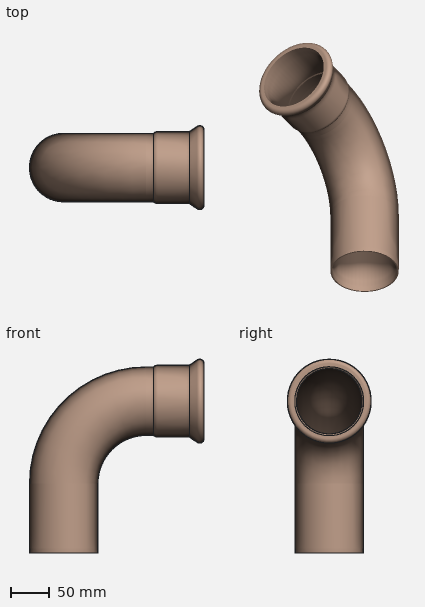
import cadquery as cq
import math

pipe_diameter = 88.9
wall = 2.0
bend_radius = 107.0
leg_length = 90.0
end_band_length = 5.6
end_band_diameter = 88.5

collar_start = 116.5
collar_round_end = 122.1
socket_end = 163.0
mouth_end = 182.0
socket_diameter = 93.5

bead_diameter = 109.0
bead_round_radius = 5.5

pipe_radius = pipe_diameter / 2
end_band_radius = end_band_diameter / 2
bore_radius = pipe_radius - wall
socket_radius = socket_diameter / 2
socket_bore_radius = socket_radius - wall
axis_height = leg_length + bend_radius


def make_leg():
    """Vertical leg with a slightly tapered insertion end."""
    profile = (
        cq.Workplane("XZ")
        .moveTo(0, 0)
        .lineTo(end_band_radius, 0)
        .lineTo(pipe_radius, end_band_length)
        .lineTo(pipe_radius, leg_length)
        .lineTo(0, leg_length)
        .close()
    )
    return profile.revolve(360, (0, 0, 0), (0, 1, 0))


def make_bend(radius):
    """Quarter bend from the top of the leg (+Z) round to +X."""
    section = cq.Workplane("XY").workplane(offset=leg_length).circle(radius)
    return section.revolve(90, (bend_radius, 0, 0), (bend_radius, 1, 0))


def make_socket():
    """Horizontal run: pipe stub, rounded collar, socket, cone and bead."""
    shoulder_length = collar_round_end - collar_start
    shoulder_drop = socket_radius - pipe_radius
    shoulder_radius = (shoulder_length**2 + shoulder_drop**2) / (2 * shoulder_drop)
    half_angle = math.asin(shoulder_length / shoulder_radius) / 2
    shoulder_mid = (
        collar_round_end - shoulder_radius * math.sin(half_angle),
        socket_radius - shoulder_radius * (1 - math.cos(half_angle)),
    )

    centre_x = mouth_end - bead_round_radius
    centre_r = bead_diameter / 2 - bead_round_radius
    run = centre_x - socket_end
    rise = centre_r - socket_radius
    cone_angle = math.atan2(rise, run) + math.asin(bead_round_radius / math.hypot(run, rise))
    cone_end = (
        centre_x - bead_round_radius * math.sin(cone_angle),
        centre_r + bead_round_radius * math.cos(cone_angle),
    )
    bead_top = (centre_x, bead_diameter / 2)

    profile = (
        cq.Workplane("XZ", origin=(0, 0, axis_height))
        .moveTo(bend_radius, 0)
        .lineTo(bend_radius, pipe_radius)
        .lineTo(collar_start, pipe_radius)
        .threePointArc(shoulder_mid, (collar_round_end, socket_radius))
        .lineTo(socket_end, socket_radius)
        .lineTo(*cone_end)
        .threePointArc(bead_top, (mouth_end, centre_r))
        .lineTo(mouth_end, 0)
        .close()
    )
    return profile.revolve(360, (0, 0, 0), (1, 0, 0))


def make_bore():
    """Through passage: pipe bore round the bend, opening into the wider socket bore."""
    leg_bore = cq.Workplane("XY").circle(bore_radius).extrude(leg_length)
    stub_bore = (
        cq.Workplane("YZ", origin=(bend_radius, 0, axis_height))
        .circle(bore_radius)
        .extrude(collar_round_end - bend_radius)
    )
    socket_bore = (
        cq.Workplane("YZ", origin=(collar_round_end, 0, axis_height))
        .circle(socket_bore_radius)
        .extrude(mouth_end - collar_round_end)
    )
    return leg_bore.union(make_bend(bore_radius)).union(stub_bore).union(socket_bore)


body = make_leg().union(make_bend(pipe_radius)).union(make_socket())
result = body.cut(make_bore())